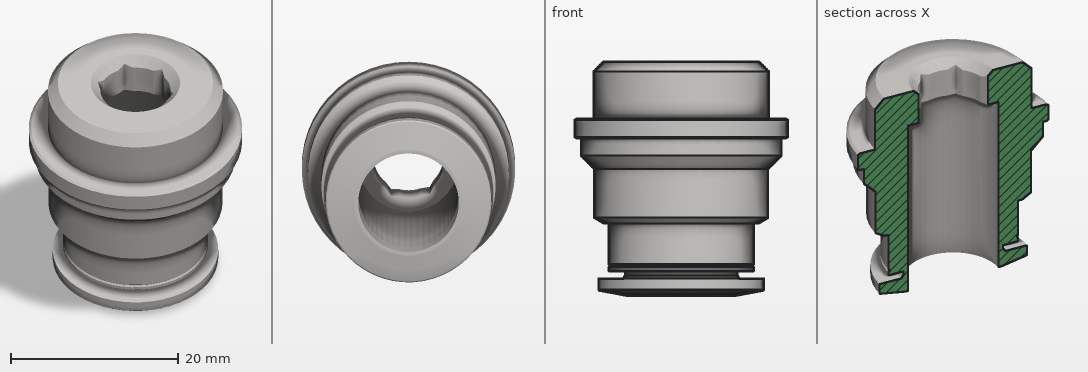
import cadquery as cq
import math

TOTAL_HEIGHT = 28

HEAD_RADIUS = 20.95 / 2
HEAD_CHAMFER = 1.2

FLANGE_RADIUS = 25.5 / 2
FLANGE_FACE_RADIUS = 24.9 / 2
FLANGE_TOP = 21.2
FLANGE_BOTTOM = 18.8
FLANGE_CHAMFER_HEIGHT = 0.2
COLLAR_RADIUS = 24.0 / 2
COLLAR_BOTTOM = 16.77

BODY_RADIUS = 20.8 / 2
BODY_TOP = COLLAR_BOTTOM - (COLLAR_RADIUS - BODY_RADIUS)
BODY_BOTTOM = 8.62
BODY_END_RADIUS = 9.2
BODY_CHAMFER_HEIGHT = 0.73

SLEEVE_RADIUS = 17.4 / 2
SLEEVE_BOTTOM = 2.9
SLEEVE_CHAMFER = 0.1
GROOVE_CENTER = 3.6
GROOVE_DEPTH = 0.2

NECK_RADIUS = 13.4 / 2
FLARE_HEIGHT = 0.35
FLARE_WIDTH = 0.25

BUTTON_RADIUS = 19.8 / 2
BUTTON_TOP = 2.07
BUTTON_EDGE = 0.62
BUTTON_CHAMFER = 0.15
BUTTON_END_RADIUS = 6.45

SOCKET_ACROSS_FLATS = 8.0
SOCKET_HOLE_DIAMETER = 8.4
SOCKET_BOTTOM = 23.25
COUNTERSINK_RADIUS = 5.32
BORE_DIAMETER = 12.0


def make_outside():
    """Revolve the stepped outer profile, listed from top to bottom, about Z."""
    profile = [
        (0, TOTAL_HEIGHT),
        (HEAD_RADIUS - HEAD_CHAMFER, TOTAL_HEIGHT),
        (HEAD_RADIUS, TOTAL_HEIGHT - HEAD_CHAMFER),
        (HEAD_RADIUS, FLANGE_TOP),
        (FLANGE_FACE_RADIUS, FLANGE_TOP),
        (FLANGE_RADIUS, FLANGE_TOP - FLANGE_CHAMFER_HEIGHT),
        (FLANGE_RADIUS, FLANGE_BOTTOM + FLANGE_CHAMFER_HEIGHT),
        (FLANGE_FACE_RADIUS, FLANGE_BOTTOM),
        (COLLAR_RADIUS, FLANGE_BOTTOM),
        (COLLAR_RADIUS, COLLAR_BOTTOM),
        (BODY_RADIUS, BODY_TOP),
        (BODY_RADIUS, BODY_BOTTOM + BODY_CHAMFER_HEIGHT),
        (BODY_END_RADIUS, BODY_BOTTOM),
        (SLEEVE_RADIUS, BODY_BOTTOM),
        (SLEEVE_RADIUS, GROOVE_CENTER + GROOVE_DEPTH),
        (SLEEVE_RADIUS - GROOVE_DEPTH, GROOVE_CENTER),
        (SLEEVE_RADIUS, GROOVE_CENTER - GROOVE_DEPTH),
        (SLEEVE_RADIUS, SLEEVE_BOTTOM + SLEEVE_CHAMFER),
        (SLEEVE_RADIUS - SLEEVE_CHAMFER, SLEEVE_BOTTOM),
        (NECK_RADIUS, SLEEVE_BOTTOM),
        (NECK_RADIUS, BUTTON_TOP + FLARE_HEIGHT),
        (NECK_RADIUS + FLARE_WIDTH, BUTTON_TOP),
        (BUTTON_RADIUS, BUTTON_TOP),
        (BUTTON_RADIUS, BUTTON_EDGE + BUTTON_CHAMFER),
        (BUTTON_RADIUS - BUTTON_CHAMFER, BUTTON_EDGE),
        (BUTTON_END_RADIUS, 0),
        (0, 0),
    ]
    return cq.Workplane("XZ").polyline(profile).close().revolve(360, (0, 0), (0, 1))


def make_socket():
    """Hexagon with corners on the Y axis, united with a slightly wider round hole."""
    across_corners = SOCKET_ACROSS_FLATS / math.cos(math.radians(30))
    depth = TOTAL_HEIGHT - SOCKET_BOTTOM
    base = cq.Workplane("XY").workplane(offset=SOCKET_BOTTOM)
    hexagon = base.polygon(6, across_corners).extrude(depth).rotate((0, 0, 0), (0, 0, 1), 30)
    hole = base.circle(SOCKET_HOLE_DIAMETER / 2).extrude(depth)
    return hexagon.union(hole)


def make_countersink():
    """45 degree cone at the mouth of the socket."""
    return (
        cq.Workplane("XZ")
        .moveTo(0, TOTAL_HEIGHT)
        .lineTo(COUNTERSINK_RADIUS, TOTAL_HEIGHT)
        .lineTo(0, TOTAL_HEIGHT - COUNTERSINK_RADIUS)
        .close()
        .revolve(360, (0, 0), (0, 1))
    )


def make_bore():
    """Wide bore from the bottom face up to the socket."""
    return cq.Workplane("XY").circle(BORE_DIAMETER / 2).extrude(SOCKET_BOTTOM)


result = make_outside().cut(make_socket()).cut(make_countersink()).cut(make_bore())